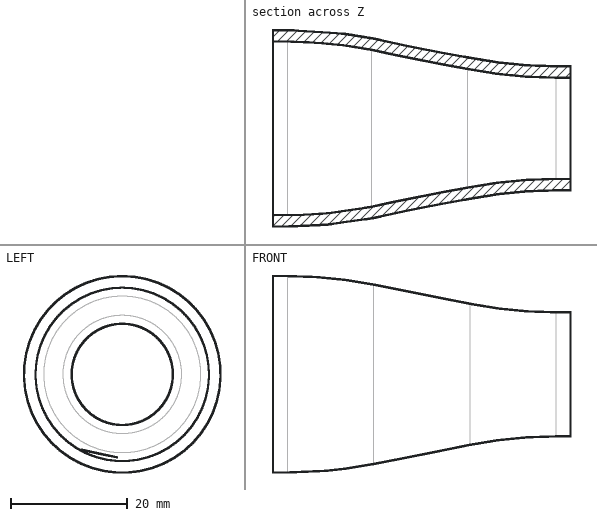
import cadquery as cq
import math

length = 51.0
large_diameter = 33.7
small_diameter = 21.3
wall = 2.0
straight_length = 2.5
blend_radius = 75.5

large_radius = large_diameter / 2
small_radius = small_diameter / 2

half_run = length / 2 - straight_length
half_drop = (large_radius - small_radius) / 2
centre_to_middle = math.hypot(half_run, blend_radius - half_drop)
cone_angle = math.atan2(half_run, blend_radius - half_drop) - math.acos(blend_radius / centre_to_middle)


def arc_offset(radius, angle):
    """Axial advance and radial drop along an arc turned through the angle."""
    return radius * math.sin(angle), radius * (1 - math.cos(angle))


def reducer_body(inset):
    """Solid of revolution bounded by the outer profile offset inward by the inset."""
    start_radius = large_radius - inset
    end_radius = small_radius - inset
    arc_end = length - straight_length

    large_arc_radius = blend_radius - inset
    small_arc_radius = blend_radius + inset
    large_mid_advance, large_mid_drop = arc_offset(large_arc_radius, cone_angle / 2)
    large_advance, large_drop = arc_offset(large_arc_radius, cone_angle)
    small_mid_advance, small_mid_drop = arc_offset(small_arc_radius, cone_angle / 2)
    small_advance, small_drop = arc_offset(small_arc_radius, cone_angle)

    profile = (
        cq.Workplane("XZ")
        .moveTo(0, 0)
        .lineTo(0, start_radius)
        .lineTo(straight_length, start_radius)
        .threePointArc(
            (straight_length + large_mid_advance, start_radius - large_mid_drop),
            (straight_length + large_advance, start_radius - large_drop),
        )
        .lineTo(arc_end - small_advance, end_radius + small_drop)
        .threePointArc(
            (arc_end - small_mid_advance, end_radius + small_mid_drop),
            (arc_end, end_radius),
        )
        .lineTo(length, end_radius)
        .lineTo(length, 0)
        .close()
    )
    return profile.revolve(360, (0, 0, 0), (1, 0, 0))


outer_body = reducer_body(0)
bore = reducer_body(wall)
result = outer_body.cut(bore)